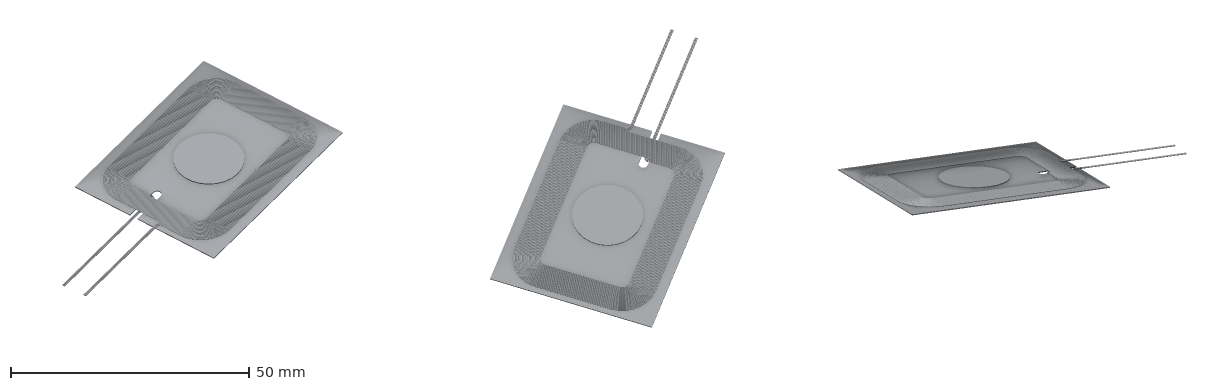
import cadquery as cq
import math


PLATE_X = 36.0
PLATE_Y = 46.0
BASE_THICKNESS = 0.2
FILM_THICKNESS = 0.061
FILM_TOP = BASE_THICKNESS + FILM_THICKNESS

WINDING_Y = 0.1
PAD_OUTER_X = 31.95
PAD_OUTER_Y = 43.6
PAD_OUTER_RADIUS = 7.6
PAD_INNER_X = 19.2
PAD_INNER_Y = 30.6
PAD_INNER_RADIUS = 1.1

TOTAL_HEIGHT = 0.52
DISC_DIAMETER = 15.0

SLOT_X = -2.8
SLOT_WIDTH = 1.9
SLOT_END_Y = -13.7

WIRE_DIAMETER = 0.2
WIRE_COUNT = 3
MIDDLE_WIRE = (WIRE_COUNT - 1) / 2
TURNS = 8
CORNER_X = 8.34
CORNER_OFFSET_Y = 14.3
BACK_CORNER_Y = WINDING_Y + CORNER_OFFSET_Y
FRONT_CORNER_Y = WINDING_Y - CORNER_OFFSET_Y
INNER_RADIUS = 1.6
SIDE_PITCH = 0.25
FRONT_PITCH = 0.235
FRONT_START = 1.4
FRONT_STEP = WIRE_COUNT * FRONT_PITCH
COIL_Z = FILM_TOP + WIRE_DIAMETER / 2

TOTAL_LENGTH = 71.0
LEAD_END_Y = PLATE_Y / 2 - TOTAL_LENGTH
TIP_LENGTH = 5.0
TIP_START_Y = LEAD_END_Y + TIP_LENGTH
INNER_LEAD_X = -2.805
INNER_LEAD_Z = WIRE_DIAMETER / 2
DROP_START_X = SLOT_X - SLOT_WIDTH / 2
DROP_LENGTH = 0.4
OUTER_LEAD_X = 2.6
OUTER_BEND_X = 3.75


def slot_cutter():
    """Round-ended slot through the whole plate, open at the front edge."""
    radius = SLOT_WIDTH / 2
    round_y = SLOT_END_Y - radius
    return (
        cq.Workplane("XY")
        .moveTo(SLOT_X - radius, -PLATE_Y)
        .lineTo(SLOT_X - radius, round_y)
        .threePointArc((SLOT_X, SLOT_END_Y), (SLOT_X + radius, round_y))
        .lineTo(SLOT_X + radius, -PLATE_Y)
        .close()
        .extrude(TOTAL_HEIGHT)
    )


def plate_layer(size_x, size_y, bottom, thickness):
    return cq.Workplane("XY").workplane(offset=bottom).rect(size_x, size_y).extrude(thickness)


def rounded_film(size_x, size_y, radius):
    layer = plate_layer(size_x, size_y, BASE_THICKNESS, FILM_THICKNESS)
    return layer.edges("|Z").fillet(radius).translate((0, WINDING_Y, 0))


def make_base():
    return plate_layer(PLATE_X, PLATE_Y, 0, BASE_THICKNESS).cut(slot_cutter())


def make_frame():
    """Film around the coil pad."""
    film = plate_layer(PLATE_X, PLATE_Y, BASE_THICKNESS, FILM_THICKNESS)
    window = rounded_film(PAD_OUTER_X, PAD_OUTER_Y, PAD_OUTER_RADIUS)
    return film.cut(window).cut(slot_cutter())


def make_pad():
    outer = rounded_film(PAD_OUTER_X, PAD_OUTER_Y, PAD_OUTER_RADIUS)
    inner = rounded_film(PAD_INNER_X, PAD_INNER_Y, PAD_INNER_RADIUS)
    return outer.cut(inner).cut(slot_cutter())


def make_island():
    """Film inside the coil pad."""
    return rounded_film(PAD_INNER_X, PAD_INNER_Y, PAD_INNER_RADIUS).cut(slot_cutter())


def make_disc():
    return (
        cq.Workplane("XY")
        .workplane(offset=FILM_TOP)
        .circle(DISC_DIAMETER / 2)
        .extrude(TOTAL_HEIGHT - FILM_TOP)
    )


def quarter_bend(center, radius_x, radius_y, start_angle):
    """Level quarter ellipse that runs counter-clockwise from start_angle (degrees)."""
    if math.isclose(radius_x, radius_y):
        return cq.Edge.makeCircle(radius_x, center, cq.Vector(0, 0, 1), start_angle, start_angle + 90)
    return cq.Edge.makeEllipse(radius_x, radius_y, center, angle1=start_angle, angle2=start_angle + 90)


def coil_point(x, y):
    return cq.Vector(x, y, COIL_Z)


def coil_line(start_x, start_y, end_x, end_y):
    return cq.Edge.makeLine(coil_point(start_x, start_y), coil_point(end_x, end_y))


def turn_edges(wire, turn):
    """One clockwise turn: front-left corner, left, back, right and front-right corner."""
    index = WIRE_COUNT * turn + wire
    side = INNER_RADIUS + SIDE_PITCH * index
    front_left = FRONT_START + FRONT_PITCH * index
    front_right = front_left + FRONT_STEP
    left_x = -CORNER_X - side
    right_x = CORNER_X + side
    back_y = BACK_CORNER_Y + side
    return [
        quarter_bend(coil_point(-CORNER_X, FRONT_CORNER_Y), side, front_left, 180),
        coil_line(left_x, FRONT_CORNER_Y, left_x, BACK_CORNER_Y),
        quarter_bend(coil_point(-CORNER_X, BACK_CORNER_Y), side, side, 90),
        coil_line(-CORNER_X, back_y, CORNER_X, back_y),
        quarter_bend(coil_point(CORNER_X, BACK_CORNER_Y), side, side, 0),
        coil_line(right_x, BACK_CORNER_Y, right_x, FRONT_CORNER_Y),
        quarter_bend(coil_point(CORNER_X, FRONT_CORNER_Y), side, front_right, 270),
    ]


def front_y(wire, track):
    """Y of a wire on the front side; track 0 is the innermost bundle."""
    return FRONT_CORNER_Y - FRONT_START - FRONT_STEP * track - FRONT_PITCH * wire


def front_edge(wire, track, start_x, end_x):
    y = front_y(wire, track)
    return coil_line(start_x, y, end_x, y)


def inner_lead_x(wire):
    """Wire 0, on the inside of the coil, ends up on the +X side of the inner leads."""
    return INNER_LEAD_X + FRONT_PITCH * (MIDDLE_WIRE - wire)


def outer_lead_x(wire):
    """Wire 0 ends up on the -X side of the outer leads."""
    return OUTER_LEAD_X + FRONT_PITCH * (wire - MIDDLE_WIRE)


def inner_lead_edges(wire):
    """From the tip along the slot, a bend to -X, and a rise onto the pad."""
    x = inner_lead_x(wire)
    y = front_y(wire, 0)
    drop_end_x = DROP_START_X + DROP_LENGTH
    radius = x - drop_end_x
    center = cq.Vector(drop_end_x, y - radius, INNER_LEAD_Z)
    level = cq.Vector(-1, 0, 0)
    return [
        cq.Edge.makeLine(cq.Vector(x, TIP_START_Y, INNER_LEAD_Z), cq.Vector(x, y - radius, INNER_LEAD_Z)),
        quarter_bend(center, radius, radius, 0),
        cq.Edge.makeSpline(
            [cq.Vector(drop_end_x, y, INNER_LEAD_Z), coil_point(DROP_START_X, y)],
            tangents=[level, level],
        ),
    ]


def outer_lead_edges(wire):
    """A bend from the outermost front track to -Y, then straight across the frame to the tip."""
    x = outer_lead_x(wire)
    y = front_y(wire, TURNS)
    radius = OUTER_BEND_X - x
    center = coil_point(OUTER_BEND_X, y - radius)
    return [
        quarter_bend(center, radius, radius, 90),
        coil_line(x, y - radius, x, TIP_START_Y),
    ]


def lead_tip(x, z):
    """Straight end of a wire, kept as its own face."""
    return (
        cq.Workplane("XZ", origin=(x, TIP_START_Y, z)).circle(WIRE_DIAMETER / 2).extrude(TIP_LENGTH)
    )


def make_wire(wire):
    """One wire from its inner lead tip, through every turn, to its outer lead tip."""
    edges = inner_lead_edges(wire)
    edges.append(front_edge(wire, 0, DROP_START_X, -CORNER_X))
    for turn in range(TURNS):
        edges += turn_edges(wire, turn)
        front_end_x = -CORNER_X if turn < TURNS - 1 else OUTER_BEND_X
        edges.append(front_edge(wire, turn + 1, CORNER_X, front_end_x))
    edges += outer_lead_edges(wire)
    path = cq.Workplane(cq.Wire.assembleEdges(edges))

    inner_x = inner_lead_x(wire)
    outer_x = outer_lead_x(wire)
    winding = (
        cq.Workplane("XZ", origin=(inner_x, TIP_START_Y, INNER_LEAD_Z))
        .circle(WIRE_DIAMETER / 2)
        .sweep(path)
    )
    winding = winding.union(lead_tip(inner_x, INNER_LEAD_Z), clean=False)
    return winding.union(lead_tip(outer_x, COIL_Z), clean=False)


base = make_base()
frame = make_frame()
pad = make_pad()
island = make_island()
disc = make_disc()
wires = [make_wire(wire) for wire in range(WIRE_COUNT)]

result = cq.Compound.makeCompound(
    [base.val(), frame.val(), pad.val(), island.val(), disc.val(), *[wire.val() for wire in wires]]
)